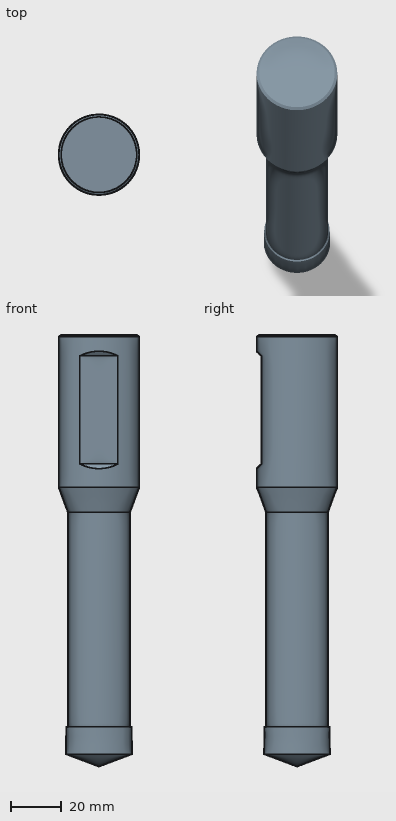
import cadquery as cq
import math

total_length = 170.0

shank_diameter = 31.8
shank_length = 60.0
shank_chamfer_height = 0.7
shank_chamfer_width = 1.0

flat_width = 15.0
flat_length = 42.5
flat_top_offset = 8.3

shoulder_length = 9.9
neck_diameter = 24.5

head_length = 10.7
head_lower_diameter = 26.2
head_upper_diameter = 25.8
point_height = 5.0

shank_radius = shank_diameter / 2
neck_radius = neck_diameter / 2
shank_bottom = total_length - shank_length
shoulder_bottom = shank_bottom - shoulder_length
head_top = point_height + head_length


def revolve_profile(points):
    """Turn a closed (radius, height) outline about the Z axis."""
    return cq.Workplane("XZ").polyline(points).close().revolve(360, (0, 0), (0, 1))


def make_flat_cutter():
    """Trapezoidal prism whose end walls rise outward at 45 degrees from the flat."""
    flat_distance = math.sqrt(shank_radius**2 - (flat_width / 2) ** 2)
    flat_top = total_length - flat_top_offset
    flat_bottom = flat_top - flat_length
    reach = shank_diameter - flat_distance
    spread = reach - flat_distance
    outline = [
        (-flat_distance, flat_bottom),
        (-flat_distance, flat_top),
        (-reach, flat_top + spread),
        (-reach, flat_bottom - spread),
    ]
    return cq.Workplane("YZ").polyline(outline).close().extrude(shank_radius, both=True)


def make_shaft():
    """Chamfered shank, conical shoulder and neck, with the clamping flat."""
    turned = revolve_profile([
        (0, head_top),
        (neck_radius, head_top),
        (neck_radius, shoulder_bottom),
        (shank_radius, shank_bottom),
        (shank_radius, total_length - shank_chamfer_height),
        (shank_radius - shank_chamfer_width, total_length),
        (0, total_length),
    ])
    return turned.cut(make_flat_cutter())


def make_head():
    """Back-tapered cutting head with a conical point, seated on the end of the neck."""
    return revolve_profile([
        (0, 0),
        (head_lower_diameter / 2, point_height),
        (head_upper_diameter / 2, head_top),
        (0, head_top),
    ])


shaft = make_shaft()
head = make_head()

result = cq.Compound.makeCompound([shaft.val(), head.val()])